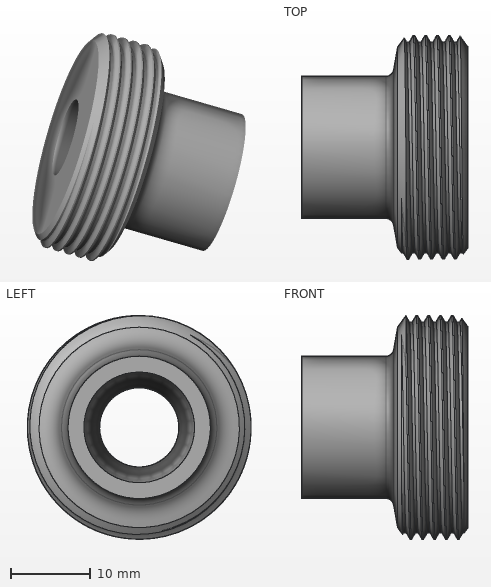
import cadquery as cq
import math

total_length = 21.0

spigot_radius = 9.0
spigot_length = 10.63
neck_fillet = 1.0

shoulder_angle = 10.0
shoulder_radius = 12.67
end_face_radius = 12.73
chamfer_angle = 36.0

crest_radius = 14.16
pitch = 1.5
flank_angle = 30.0
crest_width = pitch / 8
root_width = pitch / 4
thread_depth = (pitch - crest_width - root_width) / 2 / math.tan(math.radians(flank_angle))
root_radius = crest_radius - thread_depth
crest_position = 19.05
groove_turns = 8
groove_clearance = crest_width / 2

mouth_radius = 7.0
mouth_depth = 1.2
throat_radius = 5.0
taper_length = 12.7


def make_blank():
    """Revolve the outer outline, before threading, about the X axis."""
    lean = math.radians(shoulder_angle)
    chamfer_slope = math.tan(math.radians(chamfer_angle))
    bend = math.radians((90 - shoulder_angle) / 2)

    fillet_end_x = spigot_length + neck_fillet * math.cos(lean)
    fillet_end_radius = spigot_radius + neck_fillet * (1 - math.sin(lean))
    fillet_mid_x = spigot_length + neck_fillet * math.sin(bend)
    fillet_mid_radius = spigot_radius + neck_fillet * (1 - math.cos(bend))

    shoulder_x = fillet_end_x + (shoulder_radius - fillet_end_radius) * math.tan(lean)
    crest_start_x = shoulder_x + (crest_radius - shoulder_radius) * chamfer_slope
    crest_end_x = total_length - (crest_radius - end_face_radius) * chamfer_slope

    outline = (
        cq.Workplane("XZ")
        .moveTo(0, 0)
        .lineTo(0, spigot_radius)
        .lineTo(spigot_length, spigot_radius)
        .threePointArc((fillet_mid_x, fillet_mid_radius), (fillet_end_x, fillet_end_radius))
        .lineTo(shoulder_x, shoulder_radius)
        .lineTo(crest_start_x, crest_radius)
        .lineTo(crest_end_x, crest_radius)
        .lineTo(total_length, end_face_radius)
        .lineTo(total_length, 0)
        .close()
    )
    return outline.revolve(360, (0, 0, 0), (1, 0, 0))


def make_thread_groove():
    """Helical trapezoid between the thread ridges, running out past both ends of the collar."""
    end_x = crest_position + pitch / 2 + pitch
    start_x = end_x - groove_turns * pitch

    root_half = root_width / 2
    outer_radius = crest_radius + groove_clearance
    outer_half = root_half + (outer_radius - root_radius) * math.tan(math.radians(flank_angle))

    helix = cq.Wire.makeHelix(pitch, groove_turns * pitch, root_radius)
    groove = (
        cq.Workplane("XZ")
        .moveTo(root_radius, -root_half)
        .lineTo(outer_radius, -outer_half)
        .lineTo(outer_radius, outer_half)
        .lineTo(root_radius, root_half)
        .close()
        .sweep(cq.Workplane(obj=helix), isFrenet=True)
    )
    return (
        groove.rotate((0, 0, 0), (0, 1, 0), 90)
        .rotate((0, 0, 0), (1, 0, 0), 180)
        .translate((start_x, 0, 0))
    )


def make_bore():
    """Short cylindrical mouth, long taper and cylindrical throat."""
    taper_end = mouth_depth + taper_length
    outline = (
        cq.Workplane("XZ")
        .moveTo(0, 0)
        .lineTo(0, mouth_radius)
        .lineTo(mouth_depth, mouth_radius)
        .lineTo(taper_end, throat_radius)
        .lineTo(total_length, throat_radius)
        .lineTo(total_length, 0)
        .close()
    )
    return outline.revolve(360, (0, 0, 0), (1, 0, 0))


result = make_blank().cut(make_thread_groove()).cut(make_bore())